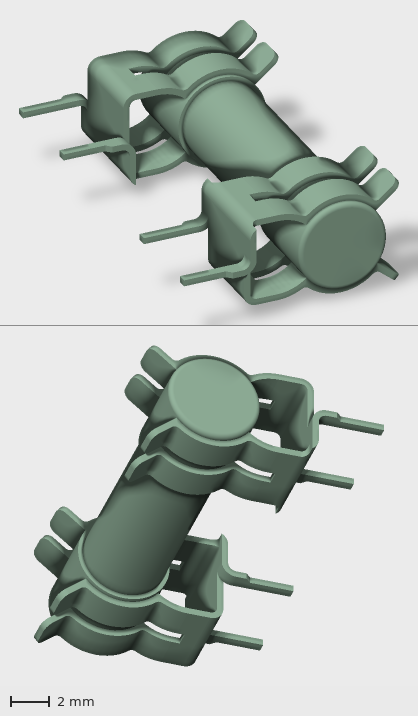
import cadquery as cq
import math


fuse_length = 20.2
cap_length = 5.1
cap_radius = 2.5
cap_edge_fillet = 0.25
tube_radius = 2.25

sheet = 0.35
clip_offset = 7.5
clip_width = 4.5
flange_width = 6.1
finger_slot_width = 0.8
finger_slot_end_y = -4.0

back_y = -5.5
arm_z = 2.5
back_bend_radius = 0.7
arm_curve_y = -3.57
valley_radius = 0.3
lip_angle = math.radians(39)
lip_tip_z = 3.0
lip_corner_radius = 0.5

flange_fillet = 0.4
pin_thickness = sheet
pin_bend_radius = 0.45
pin_root_width = (flange_width - clip_width) / 2
pin_width = 0.52
pin_taper_start_y = -6.5
pin_taper_length = 0.28
pin_end_y = -9.15

grip_radius = cap_radius + sheet
back_inner_y = back_y + sheet
pin_bend_y = back_y - pin_bend_radius
pin_bend_z = -pin_thickness / 2 - pin_bend_radius
half_clip = clip_width / 2
half_flange = flange_width / 2
half_pin = pin_thickness / 2


def polar(center, radius, angle):
    return (center[0] + radius * math.cos(angle), center[1] + radius * math.sin(angle))


def angle_to(start, end):
    return math.atan2(end[1] - start[1], end[0] - start[0])


def circle_crossing(center, radius):
    """Upper crossing of two equal circles, one at the fuse axis and one at center."""
    half_distance = math.hypot(*center) / 2
    height = math.sqrt(radius**2 - half_distance**2)
    return polar((center[0] / 2, center[1] / 2), height, angle_to(center, (0, 0)) + math.pi / 2)


def make_fuse():
    tube = cq.Workplane("YZ").circle(tube_radius).extrude(fuse_length / 2, both=True)
    cap = (
        cq.Workplane("YZ")
        .workplane(offset=fuse_length / 2 - cap_length)
        .circle(cap_radius)
        .extrude(cap_length)
        .faces(">X")
        .edges()
        .fillet(cap_edge_fillet)
    )
    return tube.union(cap).union(cap.mirror("YZ"))


def make_upper_jaw(width):
    """Upper half of the clip: back plate, bend, arm, grip around the cap and lead-in lip."""
    origin = (0, 0)
    bend_center = (back_y + back_bend_radius, arm_z - back_bend_radius)
    bend_inner_radius = back_bend_radius - sheet
    bend_middle = math.radians(135)
    arm_center = (arm_curve_y, arm_z - grip_radius)

    rear_valley = circle_crossing(arm_center, grip_radius + valley_radius)
    arm_touch = polar(arm_center, grip_radius, angle_to(arm_center, rear_valley))
    rear_grip_touch = polar(origin, grip_radius, angle_to(origin, rear_valley))
    front_valley = (-rear_valley[0], rear_valley[1])
    front_grip_touch = (-rear_grip_touch[0], rear_grip_touch[1])
    valley_bottom = -math.pi / 2
    lip_normal = lip_angle - math.pi / 2
    lip_touch = polar(front_valley, valley_radius, lip_normal)
    front_valley_middle = (angle_to(front_valley, front_grip_touch) + lip_normal) / 2

    lip_length = (lip_tip_z - lip_touch[1]) / math.sin(lip_angle)
    tip_outer = polar(lip_touch, lip_length, lip_angle)
    tip_inner = polar(tip_outer, sheet, lip_normal)
    lip_distance = tip_inner[0] * math.cos(lip_normal) + tip_inner[1] * math.sin(lip_normal)
    lip_reach = math.sqrt(cap_radius**2 - lip_distance**2)
    front_cusp = polar(polar(origin, lip_distance, lip_normal), lip_reach, lip_angle)
    rear_cusp = circle_crossing(arm_center, cap_radius)

    arm_outer_middle = (math.pi / 2 + angle_to(arm_center, arm_touch)) / 2
    arm_inner_middle = (math.pi / 2 + angle_to(arm_center, rear_cusp)) / 2
    jaw = (
        cq.Workplane("YZ")
        .moveTo(back_y, 0)
        .lineTo(back_y, bend_center[1])
        .threePointArc(polar(bend_center, back_bend_radius, bend_middle), (bend_center[0], arm_z))
        .lineTo(arm_curve_y, arm_z)
        .threePointArc(polar(arm_center, grip_radius, arm_outer_middle), arm_touch)
        .threePointArc(polar(rear_valley, valley_radius, valley_bottom), rear_grip_touch)
        .threePointArc((0, grip_radius), front_grip_touch)
        .threePointArc(polar(front_valley, valley_radius, front_valley_middle), lip_touch)
        .lineTo(*tip_outer)
        .lineTo(*tip_inner)
        .lineTo(*front_cusp)
        .threePointArc((0, cap_radius), rear_cusp)
        .threePointArc(polar(arm_center, cap_radius, arm_inner_middle), (arm_curve_y, arm_z - sheet))
        .lineTo(bend_center[0], arm_z - sheet)
        .threePointArc(
            polar(bend_center, bend_inner_radius, bend_middle), (back_inner_y, bend_center[1])
        )
        .lineTo(back_inner_y, 0)
        .close()
        .extrude(width / 2, both=True)
    )
    return jaw


def split_into_fingers(jaw):
    """Cut the slot between the two fingers and round the lip corners."""
    slot_length = 2 * arm_z - finger_slot_end_y
    slot = (
        cq.Workplane("XY")
        .box(finger_slot_width, slot_length, 2 * lip_tip_z)
        .translate((0, finger_slot_end_y + slot_length / 2, 0))
    )
    lip_normal = cq.Vector(0, math.sin(lip_angle), -math.cos(lip_angle))
    lip_corners = cq.selectors.ParallelDirSelector(lip_normal)
    return jaw.cut(slot).edges(lip_corners).fillet(lip_corner_radius)


def make_flange():
    """Wide lower part of the back plate, flaring from the clip width with fillets."""
    fillet_y = back_inner_y + flange_fillet
    fillet_x = half_clip + flange_fillet
    fillet_middle = polar((fillet_x, fillet_y), flange_fillet, math.radians(225))
    plan = (
        cq.Workplane("XY")
        .workplane(offset=-arm_z)
        .moveTo(-half_flange, back_y)
        .lineTo(half_flange, back_y)
        .lineTo(half_flange, back_inner_y)
        .lineTo(fillet_x, back_inner_y)
        .threePointArc(fillet_middle, (half_clip, fillet_y))
        .lineTo(-half_clip, fillet_y)
        .threePointArc((-fillet_middle[0], fillet_middle[1]), (-fillet_x, back_inner_y))
        .lineTo(-half_flange, back_inner_y)
        .close()
        .extrude(arm_z + pin_bend_z)
    )
    return make_upper_jaw(flange_width).mirror("XY").intersect(plan)


def make_pin():
    """Pin on the +X side: bends out of the flange toward -Y, then tapers to its tip width."""
    bend_center = (pin_bend_y, pin_bend_z)
    bend_middle = math.radians(45)
    strip = (
        cq.Workplane("YZ")
        .workplane(offset=half_clip)
        .moveTo(back_y, pin_bend_z)
        .lineTo(back_inner_y, pin_bend_z)
        .threePointArc(
            polar(bend_center, pin_bend_radius + sheet, bend_middle), (pin_bend_y, half_pin)
        )
        .lineTo(pin_end_y, half_pin)
        .lineTo(pin_end_y, -half_pin)
        .lineTo(pin_bend_y, -half_pin)
        .threePointArc(polar(bend_center, pin_bend_radius, bend_middle), (back_y, pin_bend_z))
        .close()
        .extrude(pin_root_width)
    )
    plan = (
        cq.Workplane("XY")
        .workplane(offset=pin_bend_z)
        .moveTo(half_clip, back_inner_y)
        .lineTo(half_flange, back_inner_y)
        .lineTo(half_flange, pin_taper_start_y)
        .lineTo(half_clip + pin_width, pin_taper_start_y - pin_taper_length)
        .lineTo(half_clip + pin_width, pin_end_y)
        .lineTo(half_clip, pin_end_y)
        .close()
        .extrude(half_pin - pin_bend_z)
    )
    return strip.intersect(plan)


def make_clip():
    """Clip centred on X = 0 with its flange on the -Z side."""
    jaw = split_into_fingers(make_upper_jaw(clip_width))
    pin = make_pin()
    return jaw.union(jaw.mirror("XY")).union(make_flange()).union(pin).union(pin.mirror("YZ"))


clip = make_clip()
left_clip = clip.translate((-clip_offset, 0, 0))
right_clip = clip.mirror("XY").translate((clip_offset, 0, 0))

result = make_fuse().union(left_clip).union(right_clip)